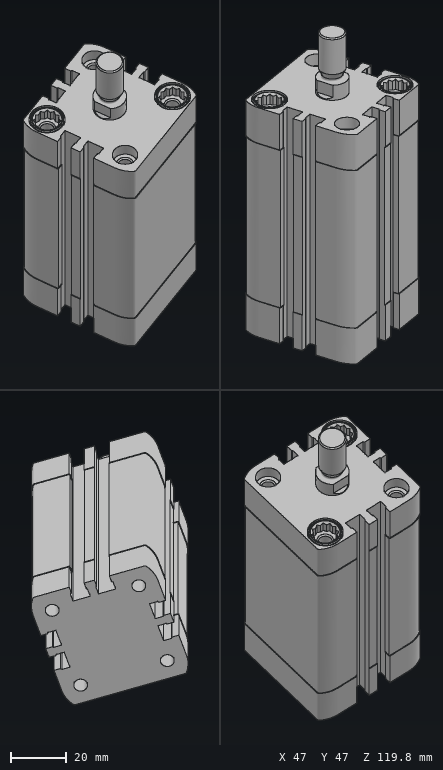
import cadquery as cq
import math

total_height = 119.8
housing_height = 94.9
cap_height = 14.9

housing_width = 47.0
barrel_inset = 0.2
hole_offset = 16.3
corner_radius = 12.0
corner_edge_fillet = 1.1

slot_depth = 5.9
slot_lip_depth = 2.5
slot_lip_slope = 0.4
slot_mouth_inner = 1.9
slot_mouth_outer = 7.3
slot_inner = 1.5
slot_outer = 8.0
cap_mouth_relief = 0.2
slotted_side_angles = (0, -90, 180)

through_diameter = 4.9
chamfer_diameter = 6.0
recess_diameter = 9.0
recess_depth = 4.8
recess_floor = housing_height - recess_depth

screw_recess_diameter = 12.8
screw_recess_depth = 0.8
screw_head_diameter = 11.9
screw_head_drop = 0.1
screw_head_chamfer = 0.4
socket_points = 12
socket_outer_diameter = 9.6
socket_inner_diameter = 8.5
socket_entry_diameter = 10.5

thread_diameter = 10.0
tip_chamfer = 0.5
thread_bottom = 105.0
neck_diameter = 7.7
neck_top = 102.4
neck_fillet = 0.6
collar_diameter = 12.0
collar_top = 101.1
flats_width = 10.0
flats_bottom = 96.2


def rounded_block(inset, bottom, height):
    """Square block whose corners curve in from the front and back faces."""
    half = housing_width / 2 - inset
    radius = corner_radius - inset
    arc_center = half - radius
    middle_angle = math.asin((half - hole_offset) / radius) / 2
    arc_middle_x = hole_offset + radius * math.sin(middle_angle)
    arc_middle_y = arc_center + radius * math.cos(middle_angle)
    arc_end_y = arc_center + math.sqrt(radius**2 - (half - hole_offset) ** 2)
    block = (
        cq.Workplane("XY", origin=(0, 0, bottom))
        .moveTo(-hole_offset, half)
        .lineTo(hole_offset, half)
        .threePointArc((arc_middle_x, arc_middle_y), (half, arc_end_y))
        .lineTo(half, -arc_end_y)
        .threePointArc((arc_middle_x, -arc_middle_y), (hole_offset, -half))
        .lineTo(-hole_offset, -half)
        .threePointArc((-arc_middle_x, -arc_middle_y), (-half, -arc_end_y))
        .lineTo(-half, arc_end_y)
        .threePointArc((-arc_middle_x, arc_middle_y), (-hole_offset, half))
        .close()
        .extrude(height)
    )
    return block.edges("|Z and (>X or <X)").fillet(corner_edge_fillet)


def slot_cutter(mouth_outer, bottom, height):
    """One undercut slot in the -Y face, to the +X side of the rib."""
    face = -housing_width / 2
    lip = face + slot_lip_depth
    floor = face + slot_depth
    profile = [
        (slot_mouth_inner, face),
        (mouth_outer, face),
        (mouth_outer, lip),
        (slot_outer, lip + slot_lip_slope),
        (slot_outer, floor),
        (slot_inner, floor),
        (slot_inner, lip + slot_lip_slope),
        (slot_mouth_inner, lip),
    ]
    return cq.Workplane("XY", origin=(0, 0, bottom)).polyline(profile).close().extrude(height)


def slotted_section(inset, mouth_outer, bottom, height):
    """A length of the housing with its pairs of slots."""
    section = rounded_block(inset, bottom, height)
    slot = slot_cutter(mouth_outer, bottom, height)
    for angle in slotted_side_angles:
        for cutter in (slot, slot.mirror("YZ")):
            section = section.cut(cutter.rotate((0, 0, 0), (0, 0, 1), angle))
    return section


def disc(diameter, bottom, height):
    """Cylinder on the Z axis."""
    return cq.Workplane("XY", origin=(0, 0, bottom)).circle(diameter / 2).extrude(height)


def cone(bottom_diameter, top_diameter, bottom, height):
    """Truncated cone on the Z axis."""
    solid = cq.Solid.makeCone(bottom_diameter / 2, top_diameter / 2, height, pnt=cq.Vector(0, 0, bottom))
    return cq.Workplane(obj=solid)


def through_hole_cutter():
    """Through hole with a chamfer where it opens in the recess floor."""
    chamfer = (chamfer_diameter - through_diameter) / 2
    countersink = cone(through_diameter, chamfer_diameter, recess_floor - chamfer, chamfer)
    return disc(through_diameter, 0, recess_floor).union(countersink)


def plain_corner_cutter():
    """Through hole below a plain round recess."""
    return through_hole_cutter().union(disc(recess_diameter, recess_floor, recess_depth))


def socket_cutter(head_top):
    """Twelve-point socket with a conical entry."""
    points = []
    for i in range(2 * socket_points):
        radius = (socket_inner_diameter if i % 2 else socket_outer_diameter) / 2
        angle = math.pi * i / socket_points
        points.append((radius * math.cos(angle), radius * math.sin(angle)))
    outline = cq.Workplane("XY", origin=(0, 0, recess_floor)).polyline(points).close()
    star = outline.extrude(head_top - recess_floor)
    entry_depth = (socket_entry_diameter - socket_inner_diameter) / 2
    entry = cone(socket_inner_diameter, socket_entry_diameter, head_top - entry_depth, entry_depth)
    return star.union(entry)


def screw_corner_cutter():
    """Recess around a chamfered screw head, with the socket and through hole."""
    head_top = housing_height - screw_head_drop
    head_bottom = housing_height - screw_recess_depth
    head = disc(screw_head_diameter, head_bottom, head_top - head_bottom)
    head = head.faces(">Z").chamfer(screw_head_chamfer)
    recess = disc(screw_recess_diameter, head_bottom, screw_recess_depth).cut(head)
    return recess.union(socket_cutter(head_top)).union(through_hole_cutter())


def make_housing():
    """Slotted barrel between two slightly larger end caps, with holes in the corners."""
    barrel_height = housing_height - 2 * cap_height
    upper_cap_bottom = housing_height - cap_height
    cap_mouth = slot_mouth_outer + cap_mouth_relief
    housing = slotted_section(barrel_inset, slot_mouth_outer, cap_height, barrel_height)
    for bottom in (0, upper_cap_bottom):
        housing = housing.union(slotted_section(0, cap_mouth, bottom, cap_height))

    plain_corner = plain_corner_cutter()
    screw_corner = screw_corner_cutter()
    for side in (-1, 1):
        x = side * hole_offset
        housing = housing.cut(plain_corner.translate((x, -x, 0)))
        housing = housing.cut(screw_corner.translate((x, x, 0)))
    return housing


def make_rod():
    """Piston rod standing on the housing: collar, neck and threaded end."""
    neck_radius = neck_diameter / 2
    thread_radius = thread_diameter / 2
    collar_radius = collar_diameter / 2
    fillet_offset = neck_fillet * (1 - math.sqrt(0.5))
    rod = (
        cq.Workplane("XZ")
        .moveTo(0, housing_height)
        .lineTo(collar_radius, housing_height)
        .lineTo(collar_radius, collar_top)
        .lineTo(neck_radius + neck_fillet, collar_top)
        .threePointArc(
            (neck_radius + fillet_offset, collar_top + fillet_offset),
            (neck_radius, collar_top + neck_fillet),
        )
        .lineTo(neck_radius, neck_top)
        .lineTo(thread_radius, thread_bottom)
        .lineTo(thread_radius, total_height - tip_chamfer)
        .lineTo(thread_radius - tip_chamfer, total_height)
        .lineTo(0, total_height)
        .close()
        .revolve(360, (0, 0), (0, 1))
    )

    flat_depth = collar_radius - flats_width / 2
    flat_profile = [
        (flats_width / 2, collar_top),
        (flats_width / 2, flats_bottom),
        (collar_radius, flats_bottom - flat_depth),
        (collar_radius, collar_top),
    ]
    flat = cq.Workplane("YZ").polyline(flat_profile).close().extrude(collar_radius, both=True)
    return rod.cut(flat).cut(flat.mirror("XZ"))


housing = make_housing()
rod = make_rod()
result = cq.Compound.makeCompound([housing.solids().val(), rod.solids().val()])